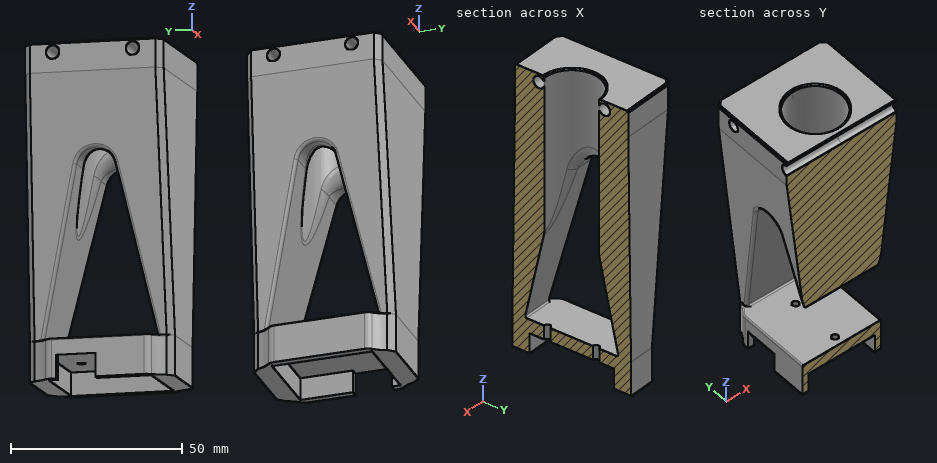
import cadquery as cq
import math

TOTAL_HEIGHT = 99.0
HEAD_SIZE = 42.0
HEAD_BOTTOM = 90.0
FOOT_WIDTH = 24.0
FOOT_DEPTH = 44.0
CORNER_CHAMFER = 2.0
EDGE_CHAMFER = 0.5

BASE_HEIGHT = 12.0
BASE_WIDTH = 30.0
LEDGE_FLAT_HALF = 14.0
LEDGE_CORNER_RADIUS = 3.0
LEDGE_HOLLOW_RADIUS = 10.0
LEDGE_ROUND = 0.5
BASE_WALL = 2.5
POCKET_LENGTH = 31.0
POCKET_DEPTH = 7.0
NOTCH_WIDTH = 12.0
NOTCH_CENTRE_Y = 6.75

WINDOW_TOP = 67.7
WINDOW_RADIUS = 6.0
WINDOW_FOOT_HALF = 17.2
WINDOW_ROUND = 1.0
BORE_EXIT_ROUND = 5.0
WINDOW_FLOOR_ROUND = 0.5

BORE_DIAMETER = 20.0
CROSS_HOLE_DIAMETER = 4.0
CROSS_HOLE_SPACING = 24.2
CROSS_HOLE_Z = 96.0
FLOOR_HOLE_DIAMETER = 2.25
FLOOR_HOLE_SPACING = 18.0

MARGIN = 0.1


def chamfered_rectangle(width, depth):
    """Corner points of a rectangle with cut corners."""
    x = width / 2
    y = depth / 2
    c = CORNER_CHAMFER
    return [(x, -y + c), (x, y - c), (x - c, y), (-x + c, y),
            (-x, y - c), (-x, -y + c), (-x + c, -y), (x - c, -y)]


def make_head():
    head = (
        cq.Workplane("XY", origin=(0, 0, HEAD_BOTTOM))
        .polyline(chamfered_rectangle(HEAD_SIZE, HEAD_SIZE)).close()
        .extrude(TOTAL_HEIGHT - HEAD_BOTTOM)
    )
    return head.faces(">Z").edges().chamfer(EDGE_CHAMFER)


def make_window():
    """Arch with sloping sides tangent to its round top, as a solid along X."""
    centre_z = WINDOW_TOP - WINDOW_RADIUS
    rise = centre_z - BASE_HEIGHT
    foot_distance = math.hypot(rise, WINDOW_FOOT_HALF)
    angle = math.atan2(-rise, WINDOW_FOOT_HALF) + math.acos(WINDOW_RADIUS / foot_distance)
    touch_y = WINDOW_RADIUS * math.cos(angle)
    touch_z = centre_z + WINDOW_RADIUS * math.sin(angle)
    arch = (
        cq.Workplane("YZ")
        .moveTo(-WINDOW_FOOT_HALF, BASE_HEIGHT)
        .lineTo(WINDOW_FOOT_HALF, BASE_HEIGHT)
        .lineTo(touch_y, touch_z)
        .threePointArc((0, WINDOW_TOP), (-touch_y, touch_z))
        .close()
        .extrude(HEAD_SIZE, both=True)
    )
    return arch.edges("|X").edges("<Z").fillet(WINDOW_FLOOR_ROUND)


def make_taper():
    taper = (
        cq.Workplane("XY", origin=(0, 0, BASE_HEIGHT))
        .polyline(chamfered_rectangle(FOOT_WIDTH, FOOT_DEPTH)).close()
        .workplane(offset=HEAD_BOTTOM - BASE_HEIGHT)
        .polyline(chamfered_rectangle(HEAD_SIZE, HEAD_SIZE)).close()
        .loft(ruled=True, combine=True)
    )
    taper = taper.cut(make_window())
    rim = cq.selectors.BoxSelector(
        (-HEAD_SIZE, -WINDOW_FOOT_HALF, BASE_HEIGHT + WINDOW_FLOOR_ROUND),
        (HEAD_SIZE, WINDOW_FOOT_HALF, WINDOW_TOP + MARGIN),
    )
    wall_lines = cq.selectors.BoxSelector(
        (-MARGIN, -WINDOW_FOOT_HALF, BASE_HEIGHT), (MARGIN, WINDOW_FOOT_HALF, WINDOW_TOP + MARGIN)
    )
    return taper.edges(rim - wall_lines).fillet(WINDOW_ROUND)


def make_base():
    """Block with a ledge on each X side, blended into the taper foot by S-curves."""
    foot_x = FOOT_WIDTH / 2
    foot_y = FOOT_DEPTH / 2
    side_x = BASE_WIDTH / 2
    blend_y = foot_y - CORNER_CHAMFER
    corner_x = side_x - LEDGE_CORNER_RADIUS
    offset_x = corner_x - foot_x
    offset_y = blend_y - LEDGE_FLAT_HALF
    gap = math.hypot(offset_x, offset_y)
    centre_span = LEDGE_CORNER_RADIUS + LEDGE_HOLLOW_RADIUS
    cosine = (centre_span ** 2 + gap ** 2 - LEDGE_HOLLOW_RADIUS ** 2) / (2 * centre_span * gap)
    meet_angle = math.atan2(offset_y, -offset_x) - math.acos(cosine)
    meet_x = corner_x + LEDGE_CORNER_RADIUS * math.cos(meet_angle)
    meet_y = LEDGE_FLAT_HALF + LEDGE_CORNER_RADIUS * math.sin(meet_angle)

    outline = (
        cq.Workplane("XY")
        .moveTo(side_x, 0)
        .lineTo(side_x, LEDGE_FLAT_HALF)
        .radiusArc((meet_x, meet_y), -LEDGE_CORNER_RADIUS)
        .radiusArc((foot_x, blend_y), LEDGE_HOLLOW_RADIUS)
        .lineTo(foot_x - CORNER_CHAMFER, foot_y)
        .lineTo(0, foot_y)
        .mirrorX()
        .mirrorY()
    )
    base = outline.extrude(BASE_HEIGHT)
    return base.faces(">Z").edges(">X or <X").fillet(LEDGE_ROUND)


def cut_base_pocket(body):
    """Pocket open at the bottom, with a notch through the -X wall."""
    pocket = cq.Workplane("XY").rect(BASE_WIDTH - 2 * BASE_WALL, POCKET_LENGTH).extrude(POCKET_DEPTH)
    notch = (
        cq.Workplane("XY", origin=(-BASE_WIDTH / 2, NOTCH_CENTRE_Y, 0))
        .rect(BASE_WIDTH, NOTCH_WIDTH).extrude(POCKET_DEPTH)
    )
    return body.cut(pocket).cut(notch)


def cut_bore(body):
    bore = (
        cq.Workplane("XY", origin=(0, 0, BASE_HEIGHT))
        .circle(BORE_DIAMETER / 2).extrude(TOTAL_HEIGHT - BASE_HEIGHT)
    )
    return body.cut(bore).faces(">Z").edges("%CIRCLE").chamfer(EDGE_CHAMFER)


def round_bore_exit(body):
    """Round the edge where the bore breaks into the window walls."""
    reach = BORE_DIAMETER / 2 + MARGIN
    exit_edges = cq.selectors.BoxSelector(
        (-reach, -reach, BASE_HEIGHT + MARGIN), (reach, reach, WINDOW_TOP + MARGIN), boundingbox=True
    )
    return body.edges(exit_edges).edges("not %LINE").fillet(BORE_EXIT_ROUND)


def cut_holes(body):
    for side in (-1, 1):
        cross = (
            cq.Workplane("YZ", origin=(0, side * CROSS_HOLE_SPACING / 2, CROSS_HOLE_Z))
            .circle(CROSS_HOLE_DIAMETER / 2).extrude(HEAD_SIZE, both=True)
        )
        floor_hole = (
            cq.Workplane("XY", origin=(0, side * FLOOR_HOLE_SPACING / 2, 0))
            .circle(FLOOR_HOLE_DIAMETER / 2).extrude(BASE_HEIGHT)
        )
        body = body.cut(cross).cut(floor_hole)
    return body


body = make_base().union(make_taper()).union(make_head())
body = cut_base_pocket(body)
body = cut_bore(body)
body = round_bore_exit(body)
result = cut_holes(body)